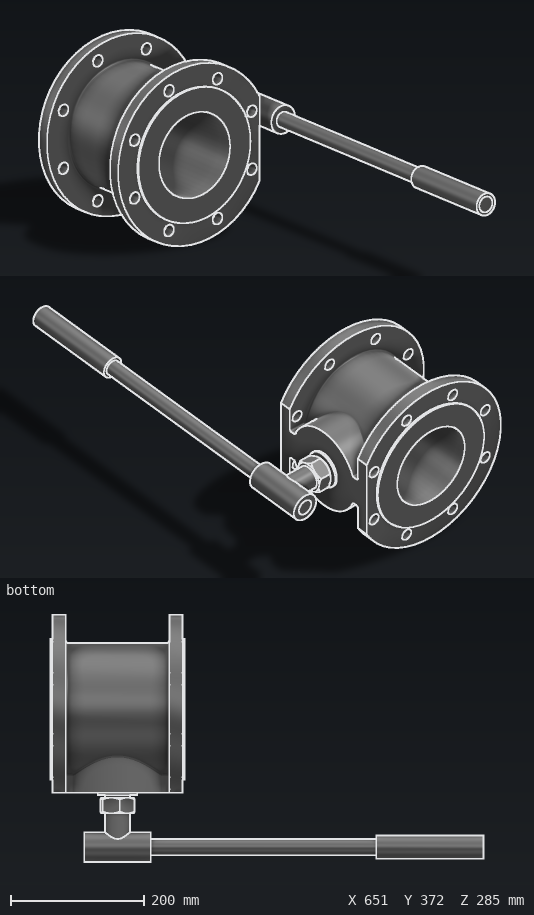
import cadquery as cq
import math


length = 202.0
bore_dia = 135.0
barrel_dia = 200.0
flange_dia = 285.0
flange_thickness = 20.0
raised_face_dia = 212.0
raised_face_height = 3.0
flat_y = 125.5
blend_radius = 4.0

bolt_circle_dia = 240.0
bolt_hole_dia = 18.0
bolt_count = 8

port_dia = 142.0
web_width = 51.0

washer_dia = 60.0
washer_thickness = 3.0
nut_gap = 4.0
nut_height = 23.5
nut_across_flats = 48.0
nut_turn_degrees = 23
nut_chamfer_height = 2.5

stem_dia = 38.0
hub_dia = 45.0
hub_length = 100.0
hub_axis_y = 207.0
rod_dia = 25.0
grip_dia = 35.0
grip_length = 161.5
overall_length = 651

flange_outer_x = length / 2 - raised_face_height
flange_inner_x = flange_outer_x - flange_thickness
washer_top_y = flat_y + washer_thickness
nut_bottom_y = washer_top_y + nut_gap
lever_end_x = overall_length - length / 2


def x_cylinder(diameter, start_x, end_x, axis_y=0):
    """Cylinder along X between two X positions."""
    return cq.Workplane("YZ", origin=(start_x, axis_y, 0)).circle(diameter / 2).extrude(end_x - start_x)


def y_cylinder(diameter, start_y, end_y):
    """Cylinder on the stem axis between two Y positions."""
    return cq.Workplane("XZ", origin=(0, start_y, 0)).circle(diameter / 2).extrude(start_y - end_y)


def make_flange(inner_x, outer_x):
    """Flange disc with one side cut flat, level with the top of the port."""
    disc = x_cylinder(flange_dia, inner_x, outer_x)
    above_flat = (
        cq.Workplane("XZ", origin=(0, flat_y, 0))
        .rect(2 * length, flange_dia)
        .extrude(-flange_dia)
    )
    return disc.cut(above_flat)


def make_bolt_holes(inner_x, outer_x):
    """Ring of bolt holes through one flange."""
    return (
        cq.Workplane("YZ", origin=(inner_x, 0, 0))
        .polarArray(bolt_circle_dia / 2, 180 / bolt_count, 360, bolt_count)
        .circle(bolt_hole_dia / 2)
        .extrude(outer_x - inner_x)
    )


def is_inside_corner(edge):
    """True for edges between barrel, port, webs and flanges; false for flange rims and edges of the flat."""
    reach = max(math.hypot(vertex.Y, vertex.Z) for vertex in edge.Vertices())
    return reach < flange_dia / 2 - blend_radius and edge.Center().y < flat_y - blend_radius


def make_housing():
    barrel = x_cylinder(barrel_dia, -flange_inner_x, flange_inner_x)
    port = y_cylinder(port_dia, 0, flat_y)
    web = cq.Workplane("XY").box(2 * flange_inner_x, flat_y, web_width).translate((0, flat_y / 2, 0))
    body = barrel.union(port).union(web)
    for side in (-1, 1):
        body = body.union(make_flange(side * flange_inner_x, side * flange_outer_x))

    inside_corners = body.edges().filter(is_inside_corner)
    body = inside_corners.fillet(blend_radius)

    for side in (-1, 1):
        body = body.union(x_cylinder(raised_face_dia, side * flange_outer_x, side * length / 2))
    body = body.cut(x_cylinder(bore_dia, -length / 2, length / 2))
    for side in (-1, 1):
        body = body.cut(make_bolt_holes(side * flange_inner_x, side * flange_outer_x))
    return body


def make_washer():
    washer = y_cylinder(washer_dia, flat_y, washer_top_y)
    return washer.cut(y_cylinder(stem_dia, flat_y, washer_top_y))


def make_nut():
    """Hexagon nut with both ends turned down to a cone."""
    corner_radius = nut_across_flats / math.sqrt(3)
    face_radius = nut_across_flats / 2
    hexagon = (
        cq.Workplane("XZ", origin=(0, nut_bottom_y, 0))
        .polygon(6, 2 * corner_radius)
        .extrude(-nut_height)
        .rotate((0, 0, 0), (0, 1, 0), nut_turn_degrees)
    )
    turned_blank = (
        cq.Workplane("XY", origin=(0, nut_bottom_y, 0))
        .polyline([
            (stem_dia / 2, 0),
            (face_radius, 0),
            (corner_radius, nut_chamfer_height),
            (corner_radius, nut_height - nut_chamfer_height),
            (face_radius, nut_height),
            (stem_dia / 2, nut_height),
        ])
        .close()
        .revolve(360, (0, 0, 0), (0, 1, 0))
    )
    return hexagon.intersect(turned_blank)


def make_stem_hub():
    """Stem standing on the flat, with the cross hub that holds the rod."""
    stem = y_cylinder(stem_dia, flat_y, hub_axis_y)
    hub = x_cylinder(hub_dia, -hub_length / 2, hub_length / 2, hub_axis_y)
    rod_hole = x_cylinder(rod_dia, -hub_length / 2, hub_length / 2, hub_axis_y)
    return stem.union(hub).cut(rod_hole)


def make_rod():
    """Rod from the near end of the hub, flush with it, to the far end of the grip."""
    return x_cylinder(rod_dia, -hub_length / 2, lever_end_x, hub_axis_y)


def make_grip():
    """Sleeve over the far end of the rod."""
    grip_start_x = lever_end_x - grip_length
    sleeve = x_cylinder(grip_dia, grip_start_x, lever_end_x, hub_axis_y)
    return sleeve.cut(x_cylinder(rod_dia, grip_start_x, lever_end_x, hub_axis_y))


housing = make_housing()
washer = make_washer()
nut = make_nut()
stem_hub = make_stem_hub()
rod = make_rod()
grip = make_grip()

result = cq.Compound.makeCompound([
    housing.val(),
    washer.val(),
    nut.val(),
    stem_hub.val(),
    rod.val(),
    grip.val(),
])